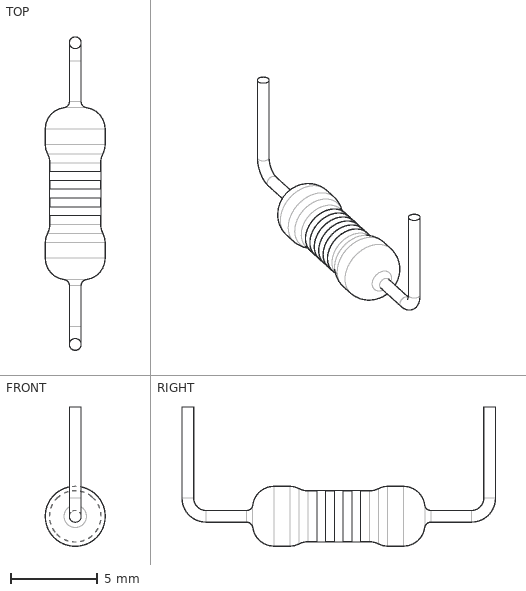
import cadquery as cq
import math

overall_length = 18.2
overall_height = 8.1
cap_diameter = 3.5
lead_diameter = 0.7
bend_radius = 1.05

band_diameter = 3.0
gap_diameter = 2.97
band_width = 0.51
band_count = 3
body_length = 10.01
dome_radius = 1.25
lead_fillet = 0.35
cap_inner_edge = 2.84

cap_radius = cap_diameter / 2
lead_radius = lead_diameter / 2
band_radius = band_diameter / 2
gap_radius = gap_diameter / 2
waist_half = (2 * band_count + 1) * band_width / 2
dome_start = body_length / 2 - dome_radius
dome_centre_r = cap_radius - dome_radius

lead_y = overall_length / 2 - lead_radius
lead_top = overall_height - cap_radius
bend_start = lead_y - bend_radius


def point_on_arc(centre_y, centre_r, radius, angle):
    return (centre_y + radius * math.cos(angle), centre_r + radius * math.sin(angle))


def make_body_half():
    """Revolve one half of the body, from its middle plane to the lead fillet."""
    flare_length = cap_inner_edge - waist_half
    flare_rise = cap_radius - gap_radius
    flare_radius = (flare_length**2 + flare_rise**2) / (4 * flare_rise)
    flare_half_angle = math.asin(flare_length / 2 / flare_radius) / 2
    flare_mid = (waist_half + flare_length / 2, gap_radius + flare_rise / 2)
    lower_arc = point_on_arc(
        waist_half, gap_radius + flare_radius, flare_radius, flare_half_angle - math.pi / 2
    )
    upper_arc = point_on_arc(
        cap_inner_edge, cap_radius - flare_radius, flare_radius, flare_half_angle + math.pi / 2
    )

    fillet_centre_r = lead_radius + lead_fillet
    centre_rise = fillet_centre_r - dome_centre_r
    join_angle = math.asin(centre_rise / (dome_radius + lead_fillet))
    fillet_end = dome_start + (dome_radius + lead_fillet) * math.cos(join_angle)
    join = point_on_arc(dome_start, dome_centre_r, dome_radius, join_angle)
    dome_mid = point_on_arc(
        dome_start, dome_centre_r, dome_radius, (join_angle + math.pi / 2) / 2
    )
    fillet_mid = point_on_arc(
        fillet_end, fillet_centre_r, lead_fillet, join_angle / 2 + 5 * math.pi / 4
    )

    profile = (
        cq.Workplane("YZ")
        .lineTo(0, gap_radius)
        .lineTo(waist_half, gap_radius)
        .threePointArc(lower_arc, flare_mid)
        .threePointArc(upper_arc, (cap_inner_edge, cap_radius))
        .lineTo(dome_start, cap_radius)
        .threePointArc(dome_mid, join)
        .threePointArc(fillet_mid, (fillet_end, lead_radius))
        .lineTo(fillet_end, 0)
        .close()
    )
    return profile.revolve(360, (0, 0, 0), (1, 0, 0))


def make_band(index):
    """Slightly raised colour band; gaps of equal width lie between and outside the bands."""
    band_start = -waist_half + (2 * index + 1) * band_width
    return (
        cq.Workplane("XZ", origin=(0, band_start, 0))
        .circle(band_radius)
        .extrude(-band_width)
    )


def make_lead():
    """Wire running out along the axis, then bent upward."""
    bend_middle = point_on_arc(bend_start, bend_radius, bend_radius, -math.pi / 4)
    path = (
        cq.Workplane("YZ")
        .lineTo(bend_start, 0)
        .threePointArc(bend_middle, (lead_y, bend_radius))
        .lineTo(lead_y, lead_top)
    )
    return cq.Workplane("XZ").circle(lead_radius).sweep(path)


half = make_body_half().union(make_lead())
result = half.union(half.mirror("XZ"))
for band_index in range(band_count):
    result = result.union(make_band(band_index))